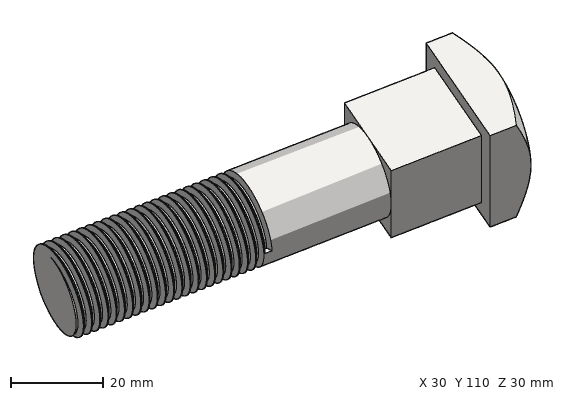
import cadquery as cq
import math

LENGTH = 110.0
HEAD_WIDTH = 30.0
HEAD_THICKNESS = 10.0
HEAD_CHAMFER_ANGLE = math.radians(30)
SHANK_DIAMETER = 22.0
NECK_LENGTH = 22.0
TIP_HEIGHT = 2.2

PITCH_COUNT = 22
PITCH_COUNT_LENGTH = 44.0
THREAD_DEPTH = 1.2
GROOVE_WIDTH = 1.8
GROOVE_ROOT_WIDTH = 0.4
THREAD_START = 48.1
THREAD_TURNS = 24
CUTTER_OVERLAP = 0.1

pitch = PITCH_COUNT_LENGTH / PITCH_COUNT
shank_radius = SHANK_DIAMETER / 2
head_start = LENGTH - HEAD_THICKNESS
neck_start = head_start - NECK_LENGTH


def square_block(width, start, length):
    """Square bar centred on the local Z axis."""
    return cq.Workplane("XY").workplane(offset=start).rect(width, width).extrude(length)


def make_head():
    """Square head whose corners are turned down by a cone around the flat end."""
    flat_radius = HEAD_WIDTH / 2
    corner_radius = flat_radius * math.sqrt(2)
    corner_drop = (corner_radius - flat_radius) * math.tan(HEAD_CHAMFER_ANGLE)
    turned_blank = (
        cq.Workplane("XZ")
        .moveTo(0, head_start)
        .lineTo(corner_radius, head_start)
        .lineTo(corner_radius, LENGTH - corner_drop)
        .lineTo(flat_radius, LENGTH)
        .lineTo(0, LENGTH)
        .close()
        .revolve(360, (0, 0, 0), (0, 1, 0))
    )
    return square_block(HEAD_WIDTH, head_start, HEAD_THICKNESS).intersect(turned_blank)


def make_shank():
    """Round shank with a spherical tip."""
    dome_radius = (shank_radius**2 + TIP_HEIGHT**2) / (2 * TIP_HEIGHT)
    mid_radius = shank_radius / 2
    mid_height = dome_radius - math.sqrt(dome_radius**2 - mid_radius**2)
    return (
        cq.Workplane("XZ")
        .threePointArc((mid_radius, mid_height), (shank_radius, TIP_HEIGHT))
        .lineTo(shank_radius, neck_start)
        .lineTo(0, neck_start)
        .close()
        .revolve(360, (0, 0, 0), (0, 1, 0))
    )


def make_thread_groove():
    """Helical cutter with a narrow flat root."""
    base = THREAD_START - THREAD_TURNS * pitch
    root_radius = shank_radius - THREAD_DEPTH
    outer_radius = shank_radius + CUTTER_OVERLAP
    half_root = GROOVE_ROOT_WIDTH / 2
    flank_slope = (GROOVE_WIDTH - GROOVE_ROOT_WIDTH) / 2 / THREAD_DEPTH
    half_outer = GROOVE_WIDTH / 2 + CUTTER_OVERLAP * flank_slope
    helix = cq.Wire.makeHelix(pitch, THREAD_TURNS * pitch, shank_radius, cq.Vector(0, 0, base))
    return (
        cq.Workplane("XZ")
        .polyline([
            (root_radius, base - half_root),
            (outer_radius, base - half_outer),
            (outer_radius, base + half_outer),
            (root_radius, base + half_root),
        ])
        .close()
        .sweep(cq.Workplane(obj=helix), isFrenet=True)
    )


neck = square_block(SHANK_DIAMETER, neck_start, NECK_LENGTH)
blank = make_shank().union(neck).union(make_head())
bolt = blank.cut(make_thread_groove())

result = bolt.rotate((0, 0, 0), (1, 0, 0), -90)